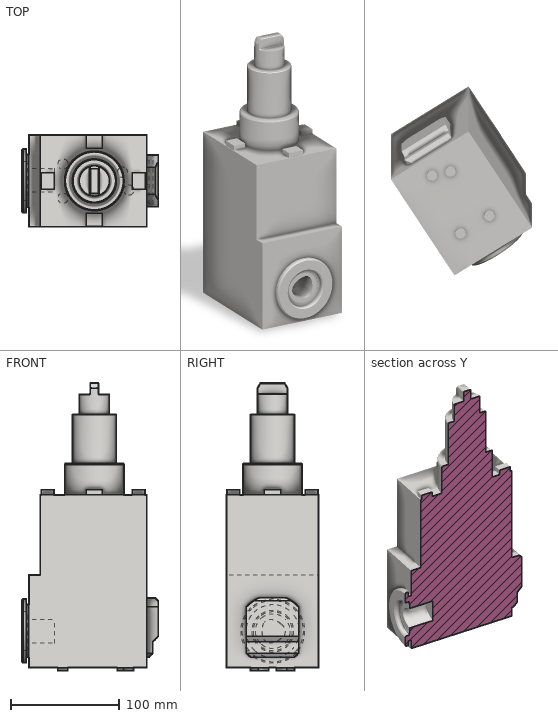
import cadquery as cq
import math


overall_height = 265.55

body_depth = 85.0
body_left = -60.5
body_right = 48.5
body_height = 159.3
ledge_width = 10.5
ledge_height = 85.5

pad_length = 12.0
pad_width = 15.0
pad_height = 4.8
pad_offset_y = 36.0
pad_left_x = -43.0
pad_right_x = 40.8

collar_diameter = 54.9
collar_top = 29.3
collar_chamfer_drop = 1.5
collar_chamfer_inset = 0.7
spindle_diameter = 40.7
spindle_top = 74.4
spindle_chamfer = 0.7
tip_diameter = 27.95
tip_shoulder = 92.8
blade_top = 103.2
blade_width = 8.0
blade_end_drop = 5.0
blade_end_inset = 2.8
blade_edge_chamfer = 0.6
blade_base_flare = 0.5

port_height = 33.8
flange_diameter = 59.0
flange_end = -67.0
flange_thickness = 4.2
flange_chamfer_length = 1.5
flange_chamfer_inset = 1.2
neck_diameter = 49.0
bore_diameter = 36.0
bore_depth = 4.7
bore_chamfer = 1.2
seat_diameter = 32.0
seat_depth = 5.0

lobe_radius = 11.6
waist_radius = 10.0
lobe_count = 3
hole_depth = 30.0

cover_center_z = 34.7
cover_radius = 32.1
cover_width = 48.0
cover_top = 64.3
cover_bottom = 9.4
cover_thickness = 10.5
cover_top_chamfer = 2.8
cover_step = 4.9
cover_step_z = 28.8
cover_bottom_chamfer = 4.0

pin_diameter = 9.5
pin_length = overall_height - body_height - blade_top
pin_points = [(-29.2, 15.7), (-29.2, -15.7), (25.8, 8.2), (31.6, -8.2)]


def block(x_min, x_max, y_min, y_max, z_min, z_max):
    """Box given by its limits along each axis."""
    size = (x_max - x_min, y_max - y_min, z_max - z_min)
    return cq.Workplane("XY").box(*size, centered=False).translate((x_min, y_min, z_min))


def rod_z(diameter, z_min, z_max, x=0, y=0):
    """Upright cylinder."""
    return cq.Workplane("XY", origin=(x, y, z_min)).circle(diameter / 2).extrude(z_max - z_min)


def rod_x(diameter, x_min, x_max):
    """Cylinder along X on the port axis."""
    return cq.Workplane("YZ", origin=(x_min, 0, port_height)).circle(diameter / 2).extrude(x_max - x_min)


def make_body():
    half = body_depth / 2
    foot = block(body_left, body_right, -half, half, 0, ledge_height)
    tower = block(body_left + ledge_width, body_right, -half, half, 0, body_height)
    return foot.union(tower)


def make_pad(x, y, length_x, length_y):
    base = cq.Workplane("XY", origin=(x, y, body_height))
    return base.rect(length_x, length_y).extrude(pad_height)


def make_pads():
    pads = cq.Workplane("XY")
    for x in (pad_left_x, pad_right_x):
        pads = pads.union(make_pad(x, 0, pad_length, pad_width))
    for y in (-pad_offset_y, pad_offset_y):
        pads = pads.union(make_pad(0, y, pad_width, pad_length))
    return pads


def make_blade():
    """Flat tongue whose two ends slope inward towards the top."""
    half = tip_diameter / 2
    shoulder = tip_shoulder
    outline = [
        (-half, shoulder),
        (half, shoulder),
        (half, blade_top - blade_end_drop),
        (half - blade_end_inset, blade_top),
        (-half + blade_end_inset, blade_top),
        (-half, blade_top - blade_end_drop),
    ]
    tongue = cq.Workplane("YZ").polyline(outline).close().extrude(blade_width / 2, both=True)
    tongue = tongue.faces(">Z").edges("|Y").chamfer(blade_edge_chamfer)
    flare = [
        (-blade_width / 2 - blade_base_flare, shoulder),
        (blade_width / 2 + blade_base_flare, shoulder),
        (blade_width / 2, shoulder + blade_base_flare),
        (-blade_width / 2, shoulder + blade_base_flare),
    ]
    tongue = tongue.union(cq.Workplane("XZ").polyline(flare).close().extrude(half, both=True))
    return tongue.intersect(rod_z(tip_diameter, 0, blade_top))


def make_shaft():
    collar = rod_z(collar_diameter, 0, collar_top)
    collar = collar.faces(">Z").edges().chamfer(collar_chamfer_drop, collar_chamfer_inset)
    spindle = rod_z(spindle_diameter, 0, spindle_top).faces(">Z").edges().chamfer(spindle_chamfer)
    tip = rod_z(tip_diameter, 0, tip_shoulder)
    shaft = collar.union(spindle).union(tip).union(make_blade())
    return shaft.translate((0, 0, body_height))


def make_flange():
    disc = rod_x(flange_diameter, flange_end, flange_end + flange_thickness)
    disc = disc.faces("<X").edges().chamfer(flange_chamfer_length, flange_chamfer_inset)
    return disc.union(rod_x(neck_diameter, flange_end + flange_thickness, body_left))


def make_port_hole():
    """Hole bounded by a smooth curve through alternating lobe and waist points."""
    points = []
    for index in range(2 * lobe_count):
        radius = lobe_radius if index % 2 == 0 else waist_radius
        angle = index * math.pi / lobe_count
        points.append((radius * math.cos(angle), radius * math.sin(angle)))
    base = cq.Workplane("YZ", origin=(flange_end, 0, port_height))
    return base.spline(points, periodic=True).close().extrude(hole_depth)


def make_port_cut():
    bore = rod_x(bore_diameter, flange_end, flange_end + bore_depth)
    mouth = (
        cq.Workplane("YZ", origin=(flange_end, 0, port_height))
        .circle(bore_diameter / 2 + bore_chamfer)
        .workplane(offset=bore_chamfer)
        .circle(bore_diameter / 2)
        .loft(ruled=True)
    )
    seat = rod_x(seat_diameter, flange_end, flange_end + seat_depth)
    return bore.union(mouth).union(seat).union(make_port_hole())


def make_cover():
    face = body_right + cover_thickness
    low_face = face - cover_step
    profile = [
        (body_right, cover_bottom),
        (low_face - cover_bottom_chamfer, cover_bottom),
        (low_face, cover_bottom + cover_bottom_chamfer),
        (low_face, cover_step_z - cover_step),
        (face, cover_step_z),
        (face, cover_top - cover_top_chamfer),
        (face - cover_top_chamfer, cover_top),
        (body_right, cover_top),
    ]
    slab = cq.Workplane("XZ").polyline(profile).close().extrude(cover_width / 2, both=True)
    round_base = cq.Workplane("YZ", origin=(body_right, 0, cover_center_z))
    round_limit = round_base.circle(cover_radius).extrude(cover_thickness)
    return slab.intersect(round_limit)


def make_pins():
    pins = cq.Workplane("XY")
    for x, y in pin_points:
        pins = pins.union(rod_z(pin_diameter, -pin_length, 0, x, y))
    return pins


result = make_body().union(make_pads()).union(make_shaft()).union(make_flange())
result = result.union(make_cover()).union(make_pins()).cut(make_port_cut())